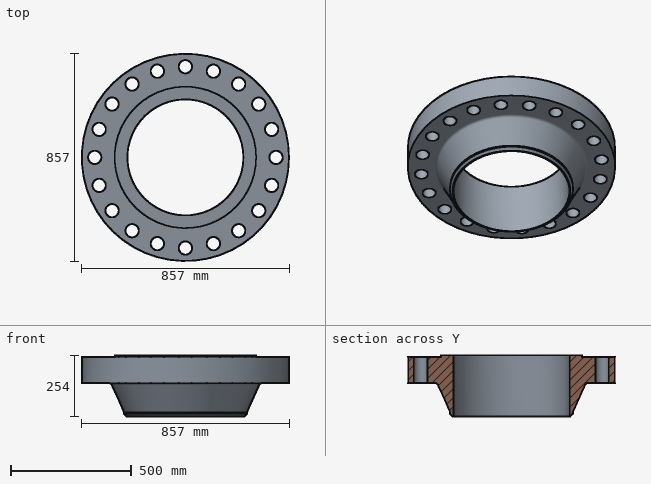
import cadquery as cq

flange_diameter = 857.0
flange_thickness = 109.0
total_height = 254.0

face_diameter = 585.0
face_height = 7.0

bolt_count = 20
bolt_circle_diameter = 749.0
bolt_hole_diameter = 54.0

bore_diameter = 478.0
neck_top_diameter = 617.0
stub_diameter = 509.0
stub_height = 18.0
root_fillet = 13.0
weld_bevel_height = 11.0
weld_land = 4.0

flange_top = total_height - face_height
flange_bottom = flange_top - flange_thickness
bore_radius = bore_diameter / 2
stub_radius = stub_diameter / 2


def make_body():
    """Revolve the half section of the flange about Z; the neck end lies on Z = 0."""
    profile = (
        cq.Workplane("XZ")
        .moveTo(bore_radius, 0)
        .lineTo(bore_radius + weld_land, 0)
        .lineTo(stub_radius, weld_bevel_height)
        .lineTo(stub_radius, stub_height)
        .lineTo(neck_top_diameter / 2, flange_bottom)
        .lineTo(flange_diameter / 2, flange_bottom)
        .lineTo(flange_diameter / 2, flange_top)
        .lineTo(face_diameter / 2, flange_top)
        .lineTo(face_diameter / 2, total_height)
        .lineTo(bore_radius, total_height)
        .close()
    )
    body = profile.revolve(360, (0, 0, 0), (0, 1, 0))
    underside_level = cq.selectors.BoxSelector(
        (-flange_diameter, -flange_diameter, flange_bottom - root_fillet / 2),
        (flange_diameter, flange_diameter, flange_bottom + root_fillet / 2),
    )
    neck_root = body.edges("%CIRCLE").edges(underside_level).edges(cq.selectors.RadiusNthSelector(0))
    return neck_root.fillet(root_fillet)


def make_bolt_holes():
    return (
        cq.Workplane("XY")
        .polarArray(bolt_circle_diameter / 2, 0, 360, bolt_count)
        .circle(bolt_hole_diameter / 2)
        .extrude(total_height)
    )


result = make_body().cut(make_bolt_holes())